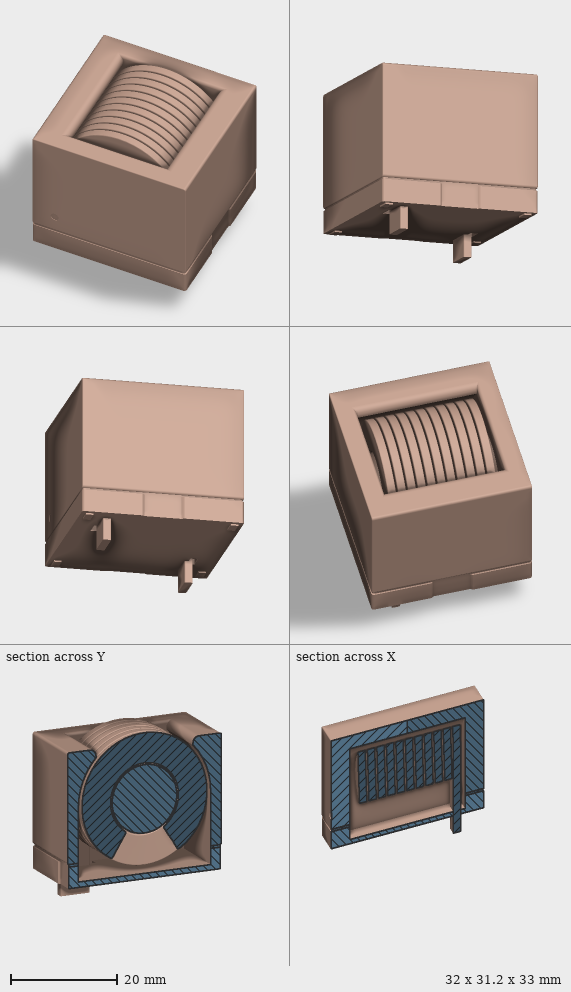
import cadquery as cq

TOTAL_HEIGHT = 33.0
BASE_BOTTOM = 4.3
BASE_TOP = 8.6
CORE_BOTTOM = 9.0
CORE_TOP = 31.0
CORE_MID = (CORE_BOTTOM + CORE_TOP) / 2

LENGTH = 32.0
WIDTH = 31.2
HALF_WIDTH = WIDTH / 2
CORE_EDGE_RADIUS = 0.5
END_FACE_RADIUS = 0.2
WINDOW_LENGTH = 20.0
WINDOW_WIDTH = 23.43
WINDOW_SIDE_RADIUS = 1.4
WINDOW_END_RADIUS = 0.6
POST_DIAMETER = 13.5

DOT_DIAMETER = 1.62
DOT_X = -11.3
DOT_Z = 12.4
DOT_DEPTH = 0.1

STRIP_WIDTH = 6.0
STRIP_THICKNESS = 1.6
STRIP_EDGE_RADIUS = 0.2
TURNS = 10.5
WINDING_LENGTH = 20.25
PITCH = WINDING_LENGTH / TURNS
WINDING_RADIUS = TOTAL_HEIGHT - CORE_MID
STRIP_RADIUS = WINDING_RADIUS - STRIP_WIDTH / 2
WINDING_CLEARANCE = 0.65

BASE_CORNER_RADIUS = 0.5
BASE_FLOOR = 1.15
RECESS_DEPTH = 0.3
RECESS_WIDTH = 8.05
RECESS_SLOPE_RUN = 0.43
VENT_OUTER_X = 8.75
VENT_LENGTH = 3.3
VENT_OUTER_Y = 11.6
FOOT_LENGTH = 2.9
FOOT_WIDTH = 1.45
FOOT_HEIGHT = 0.3
FOOT_X = 13.6
FOOT_Y = 13.93

SPACER_SIDE_INSET = 0.3
SPACER_END_INSET = 0.15
SPACER_LENGTH = LENGTH - 2 * SPACER_SIDE_INSET
SPACER_WIDTH = WIDTH - 2 * SPACER_END_INSET
SPACER_CORNER_RADIUS = 0.35


def flared_slot(plane, opening, radius, depth):
    """Slot through the full core height whose rims flare outwards in a round."""
    half = opening / 2
    low = CORE_BOTTOM
    high = CORE_TOP
    return (
        cq.Workplane(plane)
        .moveTo(-half - radius, high)
        .radiusArc((-half, high - radius), radius)
        .lineTo(-half, low + radius)
        .radiusArc((-half - radius, low), radius)
        .lineTo(half + radius, low)
        .radiusArc((half, low + radius), radius)
        .lineTo(half, high - radius)
        .radiusArc((half + radius, high), radius)
        .close()
        .extrude(depth / 2, both=True)
    )


def make_window():
    """Rectangular window; its differently rounded rims meet in mitred corners."""
    across = flared_slot("XZ", WINDOW_LENGTH, WINDOW_SIDE_RADIUS, WIDTH)
    along = flared_slot("YZ", WINDOW_WIDTH, WINDOW_END_RADIUS, LENGTH)
    return across.intersect(along)


def make_winding_space():
    """Round space for the winding, carried straight down so that the leads can leave."""
    radius = WINDING_RADIUS + WINDING_CLEARANCE
    bore = (
        cq.Workplane("XZ", origin=(0, 0, CORE_MID))
        .circle(radius)
        .extrude(WINDOW_WIDTH / 2, both=True)
    )
    lead_exit = (
        cq.Workplane("XY", origin=(0, 0, CORE_BOTTOM))
        .rect(2 * radius, WINDOW_WIDTH)
        .extrude(CORE_MID - CORE_BOTTOM)
    )
    return bore.union(lead_exit)


def make_core_half():
    """Front half of the core, from the mid plane to the front face."""
    half = (
        cq.Workplane("XZ", origin=(0, 0, CORE_MID))
        .rect(LENGTH, CORE_TOP - CORE_BOTTOM)
        .extrude(HALF_WIDTH)
        .edges("|Y")
        .fillet(CORE_EDGE_RADIUS)
        .faces("<Y")
        .edges()
        .fillet(END_FACE_RADIUS)
    )
    post = (
        cq.Workplane("XZ", origin=(0, 0, CORE_MID))
        .circle(POST_DIAMETER / 2)
        .extrude(HALF_WIDTH - END_FACE_RADIUS)
    )
    return half.cut(make_window()).cut(make_winding_space()).union(post)


def make_dot():
    return (
        cq.Workplane("XZ", origin=(DOT_X, -HALF_WIDTH + DOT_DEPTH, DOT_Z))
        .circle(DOT_DIAMETER / 2)
        .extrude(DOT_DEPTH)
    )


def strip_section(workplane):
    """Rounded cross-section of the strip, centred on the workplane."""
    section = cq.Sketch().rect(STRIP_WIDTH, STRIP_THICKNESS).vertices().fillet(STRIP_EDGE_RADIUS)
    return workplane.placeSketch(section)


def make_winding():
    axis = cq.Plane(origin=(0, WINDING_LENGTH / 2, CORE_MID), xDir=(-1, 0, 0), normal=(0, -1, 0))
    helix = cq.Wire.makeHelix(PITCH, WINDING_LENGTH, STRIP_RADIUS, lefthand=True)
    path = cq.Workplane(axis).newObject([helix.moved(cq.Location(axis))])
    start = cq.Workplane("XY", origin=(-STRIP_RADIUS, WINDING_LENGTH / 2, CORE_MID))
    winding = strip_section(start).sweep(path, isFrenet=True)
    for side in (-1, 1):
        lead_tip = cq.Workplane("XY", origin=(side * STRIP_RADIUS, -side * WINDING_LENGTH / 2, 0))
        winding = winding.union(strip_section(lead_tip).extrude(CORE_MID))
    return winding


def make_lead_slot(side):
    """Slot for one lead plus the open vent beside it."""
    lead_y = WINDING_LENGTH / 2
    slot_start = cq.Workplane("XY", origin=(side * STRIP_RADIUS, -side * lead_y, BASE_BOTTOM))
    slot = strip_section(slot_start).extrude(BASE_TOP - BASE_BOTTOM)
    vent_x = VENT_OUTER_X - VENT_LENGTH / 2
    vent_y = (lead_y + VENT_OUTER_Y) / 2
    vent = (
        cq.Workplane("XY", origin=(side * vent_x, -side * vent_y, BASE_BOTTOM))
        .rect(VENT_LENGTH, VENT_OUTER_Y - lead_y)
        .extrude(BASE_FLOOR)
    )
    return slot.union(vent)


def make_side_recess(side):
    """Shallow recess with sloping ends in one X side of the base."""
    outer = side * LENGTH / 2
    inner = side * (LENGTH / 2 - RECESS_DEPTH)
    half_mouth = RECESS_WIDTH / 2
    half_floor = half_mouth - RECESS_SLOPE_RUN
    return (
        cq.Workplane("XY", origin=(0, 0, BASE_BOTTOM))
        .moveTo(outer, -half_mouth)
        .lineTo(inner, -half_floor)
        .lineTo(inner, half_floor)
        .lineTo(outer, half_mouth)
        .close()
        .extrude(BASE_TOP - BASE_BOTTOM)
    )


def make_winding_pocket(bottom, top):
    """Rectangular clearance for the underside of the winding."""
    length = 2 * (WINDING_RADIUS + WINDING_CLEARANCE)
    return (
        cq.Workplane("XY", origin=(0, 0, bottom))
        .rect(length, WINDOW_WIDTH)
        .extrude(top - bottom)
    )


def make_base():
    base = (
        cq.Workplane("XY", origin=(0, 0, BASE_BOTTOM))
        .rect(LENGTH, WIDTH)
        .extrude(BASE_TOP - BASE_BOTTOM)
        .edges("|Z")
        .fillet(BASE_CORNER_RADIUS)
        .cut(make_winding_pocket(BASE_BOTTOM + BASE_FLOOR, BASE_TOP))
    )
    for side in (-1, 1):
        base = base.cut(make_side_recess(side)).cut(make_lead_slot(side))
    feet = (
        cq.Workplane("XY", origin=(0, 0, BASE_BOTTOM))
        .rect(2 * FOOT_X, 2 * FOOT_Y, forConstruction=True)
        .vertices()
        .rect(FOOT_LENGTH, FOOT_WIDTH)
        .extrude(-FOOT_HEIGHT)
    )
    return base.union(feet)


def make_spacer():
    return (
        cq.Workplane("XY", origin=(0, 0, BASE_TOP))
        .rect(SPACER_LENGTH, SPACER_WIDTH)
        .extrude(CORE_BOTTOM - BASE_TOP)
        .edges("|Z")
        .fillet(SPACER_CORNER_RADIUS)
        .cut(make_winding_pocket(BASE_TOP, CORE_BOTTOM))
    )


plain_half = make_core_half()
front_core = plain_half.cut(make_dot())
back_core = plain_half.rotate((0, 0, 0), (0, 0, 1), 180)
winding = make_winding()
base = make_base()
spacer = make_spacer()

bodies = [front_core, back_core, winding, base, spacer]
result = cq.Compound.makeCompound([body.solids().val() for body in bodies])